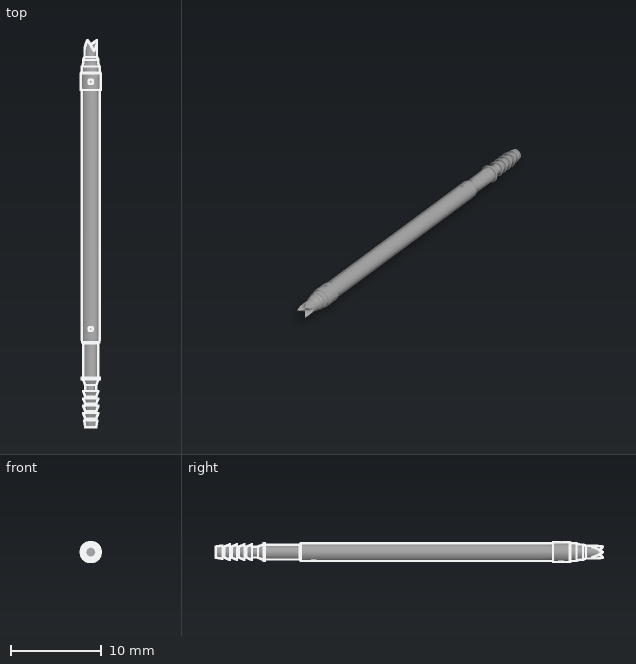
import cadquery as cq
import math

total_length = 42.7

plunger_dia = 1.4
guide_dia = 1.7
nose_inner_dia = 1.9
body_dia = 2.0
collar_dia = 2.2
shoulder_dia = 1.95
tail_dia = 1.65
bead_dia = 2.0
neck_cone_dia = 1.75
neck_dia = 1.25
barb_dia = 1.75
end_plug_dia = 1.5

plunger_length = 1.9
guide_cone_length = 0.35
guide_length = 0.35
nose_cone_length = 0.35
nose_length = 0.7
collar_chamfer_length = 0.13
collar_chamfer = 0.05
collar_length = 1.8

end_plug_length = 0.75
barb_pitch = 0.8
barb_count = 4
barb_taper_length = 0.6
neck_length = 0.65
neck_cone_length = 0.65
bead_length = 0.15
tail_length = 3.8
step_cone_length = 0.13
body_taper_length = 0.3

tip_count = 3
groove_tilt = 45.0
groove_half_width = 2.15
groove_reach = 4.25

dimple_depth = 0.065
collar_dimple_dia = 0.5
body_dimple_dia = 0.45
body_dimple_setback = 1.15

first_barb_y = end_plug_length + barb_count * barb_pitch
bead_rear_y = first_barb_y + neck_length + neck_cone_length
bead_front_y = bead_rear_y + bead_length
tail_front_y = bead_front_y + tail_length
step_y = tail_front_y + step_cone_length
body_rear_y = step_y + body_taper_length

plunger_root_y = total_length - plunger_length
guide_front_y = plunger_root_y - guide_cone_length
guide_rear_y = guide_front_y - guide_length
nose_front_y = guide_rear_y - nose_cone_length
nose_rear_y = nose_front_y - nose_length
collar_front_y = nose_rear_y - collar_chamfer_length
collar_rear_y = collar_front_y - collar_length


def barb_points(rear_y):
    """Outline of one barb, from its rear neck to the foot of its steep front face."""
    front_y = rear_y + barb_pitch
    return [
        (neck_dia / 2, front_y - barb_taper_length),
        (barb_dia / 2, front_y),
        (neck_dia / 2, front_y),
    ]


def turned_body():
    """Solid of revolution about Y, without the crown grooves and dimples."""
    outline = [
        (0, 0),
        (neck_dia / 2, 0),
        (end_plug_dia / 2, end_plug_length),
        (neck_dia / 2, end_plug_length),
    ]
    for index in range(barb_count):
        outline += barb_points(end_plug_length + index * barb_pitch)
    outline += [
        (neck_dia / 2, first_barb_y + neck_length),
        (neck_cone_dia / 2, bead_rear_y),
        (bead_dia / 2, bead_rear_y),
        (bead_dia / 2, bead_front_y),
        (tail_dia / 2, bead_front_y),
        (tail_dia / 2, tail_front_y),
        (shoulder_dia / 2, step_y),
        (body_dia / 2, body_rear_y),
        (body_dia / 2, collar_rear_y),
        (collar_dia / 2, collar_rear_y),
        (collar_dia / 2, collar_front_y),
        (collar_dia / 2 - collar_chamfer, nose_rear_y),
        (body_dia / 2, nose_rear_y),
        (body_dia / 2, nose_front_y),
        (nose_inner_dia / 2, nose_front_y),
        (guide_dia / 2, guide_rear_y),
        (guide_dia / 2, guide_front_y),
        (plunger_dia / 2, plunger_root_y),
        (plunger_dia / 2, total_length),
        (0, total_length),
    ]
    points = [(y, radius) for radius, y in outline]
    return cq.Workplane("YZ").polyline(points).close().revolve(360, (0, 0, 0), (1, 0, 0))


def crown_grooves():
    """V grooves meeting on the axis; the ridges left between them rise to the tips."""
    tilt = math.radians(groove_tilt)
    half_step = math.pi / tip_count
    ridge_slope = math.sin(half_step) / math.cos(tilt) - math.cos(half_step) * math.tan(tilt)
    center_y = total_length - plunger_dia / 2 * ridge_slope

    v_profile = [
        (0, 0),
        (groove_half_width, groove_half_width),
        (-groove_half_width, groove_half_width),
    ]
    groove = (
        cq.Workplane("ZY")
        .polyline(v_profile)
        .close()
        .extrude(groove_reach, both=True)
        .rotate((0, 0, 0), (0, 0, 1), groove_tilt)
        .translate((0, center_y, 0))
    )
    grooves = groove
    for index in range(1, tip_count):
        grooves = grooves.union(groove.rotate((0, 0, 0), (0, 1, 0), index * 360 / tip_count))
    return grooves


def dimple_pair(y, surface_dia, dimple_dia):
    """Shallow round dimples on the +Z and -Z sides of a tube at station y."""
    floor_gap = surface_dia - 2 * dimple_depth
    pins = cq.Workplane("XY").center(0, y).circle(dimple_dia / 2).extrude(surface_dia, both=True)
    core = cq.Workplane("XY").center(0, y).rect(surface_dia, surface_dia).extrude(floor_gap / 2, both=True)
    return pins.cut(core)


result = (
    turned_body()
    .cut(crown_grooves())
    .cut(dimple_pair((collar_front_y + collar_rear_y) / 2, collar_dia, collar_dimple_dia))
    .cut(dimple_pair(body_rear_y + body_dimple_setback, body_dia, body_dimple_dia))
)